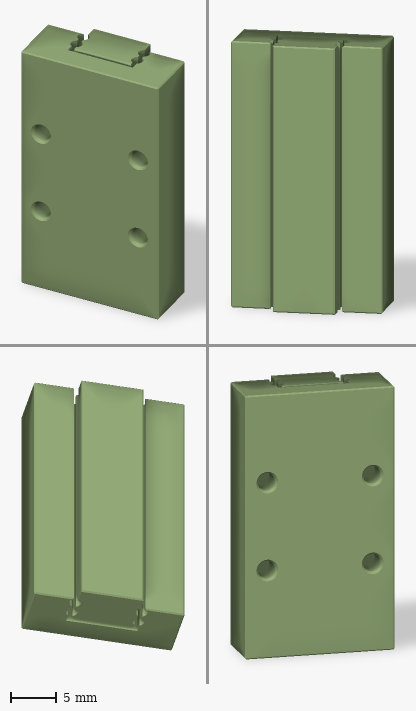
import cadquery as cq

length = 30.0
edge_chamfer = 0.15

housing_width = 17.0
housing_depth = 6.5
channel_width = 8.05
channel_floor = 2.6

overall_depth = 8.0
rail_width = 7.0
rail_depth = 4.9
rail_front = overall_depth - rail_depth

raceway_diameter = 1.35
raceway_x = (channel_width + rail_width) / 4
raceway_spacing = 1.65
outer_raceway_y = 5.85
raceway_centres = [
    (side * raceway_x, y)
    for side in (-1, 1)
    for y in (outer_raceway_y, outer_raceway_y - raceway_spacing)
]

hole_diameter = 2.0
countersink_diameter = 2.45
countersink_angle = 60
hole_depth = 3.0
hole_spacing_x = 12.0
hole_spacing_z = 10.0


def block(width, front, back):
    """Full-length block between two Y planes."""
    depth = back - front
    return (
        cq.Workplane("XY")
        .box(width, depth, length)
        .translate((0, front + depth / 2, 0))
    )


def make_raceways():
    """Full-length cylinders that cut the ball grooves."""
    return (
        cq.Workplane("XY", origin=(0, 0, -length / 2))
        .pushPoints(raceway_centres)
        .circle(raceway_diameter / 2)
        .extrude(length)
    )


def make_housing():
    """Chamfered block with the channel, its raceways and the mounting holes."""
    body = block(housing_width, 0, housing_depth).edges().chamfer(edge_chamfer)
    body = body.cut(block(channel_width, channel_floor, housing_depth))
    body = body.cut(make_raceways())
    return (
        body.copyWorkplane(cq.Workplane("XZ"))
        .rarray(hole_spacing_x, hole_spacing_z, 2, 2)
        .cskHole(hole_diameter, countersink_diameter, countersink_angle, hole_depth)
    )


def make_rail():
    """Rail with all edges of its +Y face and the end edges of its -Y face chamfered."""
    body = block(rail_width, rail_front, overall_depth)
    body = body.faces("<Y").edges("|X").chamfer(edge_chamfer)
    body = body.faces(">Y").edges().chamfer(edge_chamfer)
    return body.cut(make_raceways())


housing = make_housing()
rail = make_rail()

result = cq.Compound.makeCompound([housing.val(), rail.val()])